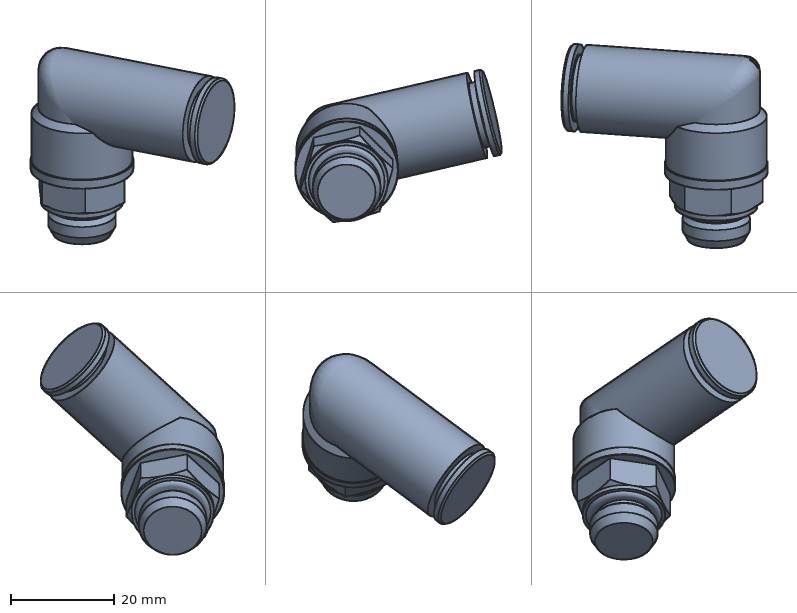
import cadquery as cq
import math


thread_diameter = 13.15
neck_diameter = 11.2
lead_in_height = 1.85
thread_top = 4.1
neck_bottom = 5.07
seal_bottom = 5.77
collar_bottom = 6.6
hex_bottom = 7.53
flange_bottom = 13.57
flange_top = 15.52
hex_width = 16.0
hex_chamfer_angle = 30
flange_diameter = 20.0
flange_chamfer = 0.1

seal_diameter = 14.7

total_height = 37.5
arm_diameter = 17.0
barrel_diameter = 19.6
barrel_top = 26.55
corner_radius = 3.0
arm_end = 26.0

total_length = 39.0
sleeve_diameter = 12.9
sleeve_shoulder_diameter = 13.15
sleeve_shoulder_width = 0.27
sleeve_flange_width = 1.5
sleeve_flange_chamfer = 0.4

arm_radius = arm_diameter / 2
arm_axis_height = total_height - arm_radius
sleeve_end = total_length - flange_diameter / 2
sleeve_flange_start = sleeve_end - sleeve_flange_width


def upright_cylinder(diameter, bottom, top):
    return cq.Workplane("XY").workplane(offset=bottom).circle(diameter / 2).extrude(top - bottom)


def arm_cylinder(diameter, start, end):
    """Cylinder on the axis of the tube arm, from X = start to X = end."""
    plane = cq.Plane(origin=(start, 0, arm_axis_height), xDir=(0, 1, 0), normal=(1, 0, 0))
    return cq.Workplane(plane).circle(diameter / 2).extrude(end - start)


def make_hexagon():
    """Hexagon with corners on the X axis and its lower corners turned off to a cone."""
    corner_diameter = hex_width / math.cos(math.pi / 6)
    height = flange_bottom - hex_bottom
    corner_excess = (corner_diameter - hex_width) / 2
    chamfer_height = corner_excess * math.tan(math.radians(hex_chamfer_angle))
    prism = cq.Workplane("XY").workplane(offset=hex_bottom).polygon(6, corner_diameter).extrude(height)
    turned_blank = (
        upright_cylinder(corner_diameter, hex_bottom, flange_bottom)
        .faces("<Z")
        .chamfer(chamfer_height, corner_excess)
    )
    return prism.intersect(turned_blank)


def make_stud():
    tip_radius = neck_diameter / 2
    thread_radius = thread_diameter / 2
    collar_radius = hex_width / 2
    turned_end = (
        cq.Workplane("XZ")
        .polyline([
            (0, 0),
            (tip_radius, 0),
            (thread_radius, lead_in_height),
            (thread_radius, thread_top),
            (tip_radius, neck_bottom),
            (tip_radius, collar_bottom),
            (collar_radius, collar_bottom),
            (collar_radius, hex_bottom),
            (0, hex_bottom),
        ])
        .close()
        .revolve(360, (0, 0), (0, 1))
    )
    flange = upright_cylinder(flange_diameter, flange_bottom, flange_top).edges("%CIRCLE").chamfer(flange_chamfer)
    return turned_end.union(make_hexagon()).union(flange)


def make_seal_ring():
    """Ring around the stud neck, its outside rounded by a quarter circle over the full height."""
    neck_radius = neck_diameter / 2
    outer_radius = seal_diameter / 2
    round_radius = collar_bottom - seal_bottom
    arc_center_radius = outer_radius - round_radius
    arc_middle_radius = arc_center_radius + round_radius * math.cos(math.pi / 4)
    arc_middle_height = collar_bottom - round_radius * math.sin(math.pi / 4)
    return (
        cq.Workplane("XZ")
        .moveTo(neck_radius, collar_bottom)
        .lineTo(neck_radius, seal_bottom)
        .lineTo(arc_center_radius, seal_bottom)
        .threePointArc((arc_middle_radius, arc_middle_height), (outer_radius, collar_bottom))
        .close()
        .revolve(360, (0, 0), (0, 1))
    )


def make_elbow():
    """Two equal cylinders meeting in a rounded miter, over a wider barrel."""
    riser = upright_cylinder(arm_diameter, flange_top, arm_axis_height)
    arm = arm_cylinder(arm_diameter, 0, arm_end)
    corner = upright_cylinder(arm_diameter, arm_axis_height - arm_radius, total_height).intersect(
        arm_cylinder(arm_diameter, -arm_radius, arm_radius)
    )
    miter_box = cq.selectors.BoxSelector(
        (-arm_radius, -arm_radius, arm_axis_height),
        (0, arm_radius, total_height),
    )
    corner = corner.edges(miter_box).fillet(corner_radius)
    barrel = upright_cylinder(barrel_diameter, flange_top, barrel_top)
    barrel = barrel.faces(">Z").chamfer((barrel_diameter - arm_diameter) / 2)
    return corner.union(riser).union(arm).union(barrel)


def make_sleeve():
    tube = arm_cylinder(sleeve_diameter, arm_end, sleeve_flange_start)
    shoulder = arm_cylinder(
        sleeve_shoulder_diameter, sleeve_flange_start - sleeve_shoulder_width, sleeve_flange_start
    )
    flange = arm_cylinder(arm_diameter, sleeve_flange_start, sleeve_end)
    flange = flange.faces(">X").chamfer(sleeve_flange_chamfer)
    return tube.union(shoulder).union(flange)


stud = make_stud()
seal_ring = make_seal_ring()
elbow = make_elbow()
sleeve = make_sleeve()

result = cq.Compound.makeCompound([stud.val(), seal_ring.val(), elbow.val(), sleeve.val()])